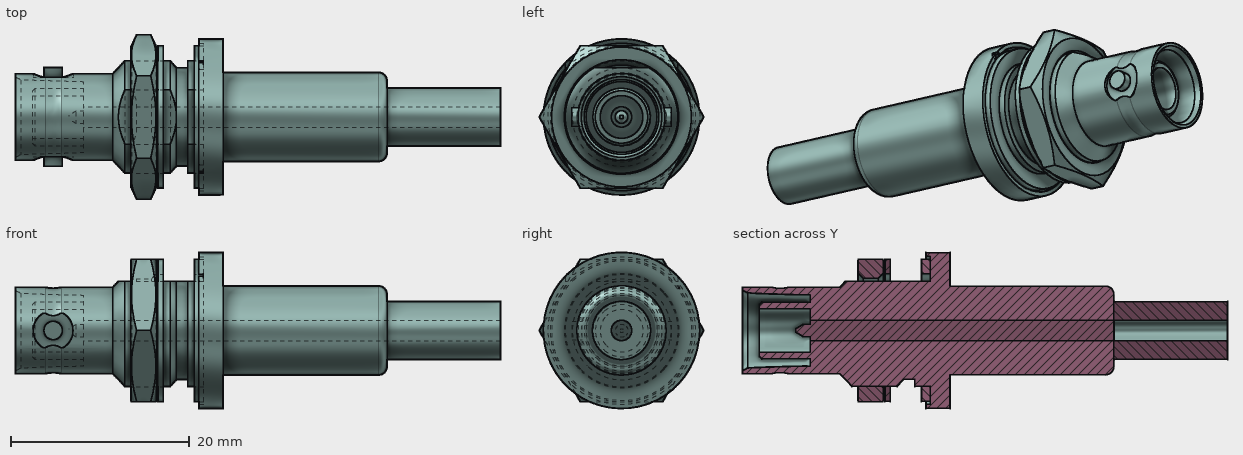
import cadquery as cq
import math


barrel_diameter = 9.7
barrel_radius = barrel_diameter / 2
barrel_end = 10.9
thread_radius = 6.3
thread_start = 12.25
thread_end = 17.3
undercut_diameter = 11.0
undercut_radius = undercut_diameter / 2
undercut_start = 18.05
undercut_end = 19.3
flange_radius = 8.75
flange_start = 20.5
flange_end = 23.25
sleeve_radius = 5.0
sleeve_end = 41.6
sleeve_rounding = 1.0
thread_flat_height = undercut_radius

gasket_recess_radius = 8.25
gasket_recess_depth = 0.5
gasket_recess_floor = flange_start + gasket_recess_depth

stud_x = 4.25
stud_radius = 1.05
stud_tip = 5.55
stud_flat_radius = 2.2
stud_flat_height = 4.45
groove_width = 1.8
groove_depth = 0.1
groove_start = stud_x - groove_width / 2
groove_end = stud_x + groove_width / 2

mouth_radius = 4.5
mouth_depth = 0.6
socket_entry_radius = 4.2
socket_radius = 3.95
socket_depth = 7.6
collet_start = 1.9
collet_radius = 3.2
collet_chamfer = 0.25
collet_bore_radius = 2.4

nut_start = 12.9
nut_end = 15.8
nut_across_flats = 15.95
nut_corner_radius = nut_across_flats / math.sqrt(3)
nut_face_radius = 7.8
nut_chamfer_length = 0.65
nut_bore_radius = 5.8
nut_mouth_radius = 6.4
nut_mouth_depth = nut_mouth_radius - nut_bore_radius

ring_radius = nut_across_flats / 2
washer_start = 15.95
washer_end = 16.55
gasket_start = 20.05

contact_radius = 1.15
contact_tip_radius = 0.7
contact_tip_flat_radius = 0.2
contact_tip_start = 6.0
contact_tip_taper = 0.8

overall_length = 54.3
tube_radius = 3.25


def revolve_about_x(profile):
    """Turn a closed profile drawn in X and radius about the X axis."""
    return profile.close().revolve(360, (0, 0, 0), (1, 0, 0))


def cylinder_along_x(start, end, radius):
    return cq.Workplane("YZ", origin=(start, 0, 0)).circle(radius).extrude(end - start)


def ring_along_x(start, end, outer_radius, inner_radius):
    return cylinder_along_x(start, end, outer_radius).cut(cylinder_along_x(start, end, inner_radius))


def stud_cylinder(start, end, radius):
    """Cylinder on the stud axis, parallel to Y."""
    return cq.Workplane("XZ", origin=(stud_x, start, 0)).circle(radius).extrude(start - end)


def above_thread_flat(start, end):
    """Block over the thread's keying flat, as high as the thread."""
    return cq.Workplane("XY", origin=(start, 0, thread_flat_height)).box(
        end - start, 2 * thread_radius, thread_radius - thread_flat_height, centered=(False, True, False)
    )


def make_housing_outside():
    return revolve_about_x(
        cq.Workplane("XY")
        .lineTo(0, barrel_radius)
        .lineTo(groove_start, barrel_radius)
        .threePointArc((stud_x, barrel_radius - groove_depth), (groove_end, barrel_radius))
        .lineTo(barrel_end, barrel_radius)
        .lineTo(thread_start, thread_radius)
        .lineTo(thread_end, thread_radius)
        .lineTo(undercut_start, undercut_radius)
        .lineTo(undercut_end, undercut_radius)
        .lineTo(undercut_end, thread_radius)
        .lineTo(gasket_recess_floor, thread_radius)
        .lineTo(gasket_recess_floor, gasket_recess_radius)
        .lineTo(flange_start, gasket_recess_radius)
        .lineTo(flange_start, flange_radius)
        .lineTo(flange_end, flange_radius)
        .lineTo(flange_end, sleeve_radius)
        .lineTo(sleeve_end - sleeve_rounding, sleeve_radius)
        .radiusArc((sleeve_end, sleeve_radius - sleeve_rounding), sleeve_rounding)
        .lineTo(sleeve_end, 0)
    )


def make_housing_socket():
    """Space of the mating socket, around the collet, inside it and along the contact hole."""
    return revolve_about_x(
        cq.Workplane("XY")
        .lineTo(0, mouth_radius)
        .lineTo(mouth_depth, socket_entry_radius)
        .lineTo(socket_depth, socket_radius)
        .lineTo(socket_depth, collet_radius)
        .lineTo(collet_start + collet_chamfer, collet_radius)
        .lineTo(collet_start, collet_radius - collet_chamfer)
        .lineTo(collet_start, collet_bore_radius)
        .lineTo(socket_depth, collet_bore_radius)
        .lineTo(socket_depth, contact_radius)
        .lineTo(sleeve_end, contact_radius)
        .lineTo(sleeve_end, 0)
    )


def make_housing():
    housing = make_housing_outside().cut(above_thread_flat(barrel_end, gasket_recess_floor))
    for side in (-1, 1):
        flat = stud_cylinder(side * stud_flat_height, side * stud_tip, stud_flat_radius)
        stud = stud_cylinder(side * socket_entry_radius, side * stud_tip, stud_radius)
        housing = housing.cut(flat).union(stud)
    return housing.cut(make_housing_socket())


def make_nut():
    """Hexagon chamfered at both ends, with a countersunk bore cut to fit the flattened thread."""
    hexagon = (
        cq.Workplane("YZ", origin=(nut_start, 0, 0))
        .polygon(6, 2 * nut_corner_radius)
        .extrude(nut_end - nut_start)
    )
    chamfer_limits = revolve_about_x(
        cq.Workplane("XY")
        .moveTo(nut_start, 0)
        .lineTo(nut_start, nut_face_radius)
        .lineTo(nut_start + nut_chamfer_length, nut_corner_radius)
        .lineTo(nut_end - nut_chamfer_length, nut_corner_radius)
        .lineTo(nut_end, nut_face_radius)
        .lineTo(nut_end, 0)
    )
    bore = revolve_about_x(
        cq.Workplane("XY")
        .moveTo(nut_start, 0)
        .lineTo(nut_start, nut_mouth_radius)
        .lineTo(nut_start + nut_mouth_depth, nut_bore_radius)
        .lineTo(nut_end - nut_mouth_depth, nut_bore_radius)
        .lineTo(nut_end, nut_mouth_radius)
        .lineTo(nut_end, 0)
    )
    thread = cylinder_along_x(nut_start, nut_end, thread_radius).cut(above_thread_flat(nut_start, nut_end))
    return hexagon.intersect(chamfer_limits).cut(bore).cut(thread)


def make_washer():
    return ring_along_x(washer_start, washer_end, ring_radius, thread_radius)


def make_gasket():
    return ring_along_x(gasket_start, gasket_recess_floor, ring_radius, thread_radius)


def make_contact():
    return revolve_about_x(
        cq.Workplane("XY")
        .moveTo(contact_tip_start, 0)
        .lineTo(contact_tip_start, contact_tip_flat_radius)
        .lineTo(contact_tip_start + contact_tip_taper, contact_tip_radius)
        .lineTo(socket_depth, contact_tip_radius)
        .lineTo(socket_depth, contact_radius)
        .lineTo(sleeve_end, contact_radius)
        .lineTo(sleeve_end, 0)
    )


def make_tube():
    return ring_along_x(sleeve_end, overall_length, tube_radius, contact_radius)


housing = make_housing()
nut = make_nut()
washer = make_washer()
gasket = make_gasket()
contact = make_contact()
tube = make_tube()

result = cq.Compound.makeCompound(
    [housing.val(), nut.val(), washer.val(), gasket.val(), contact.val(), tube.val()]
)